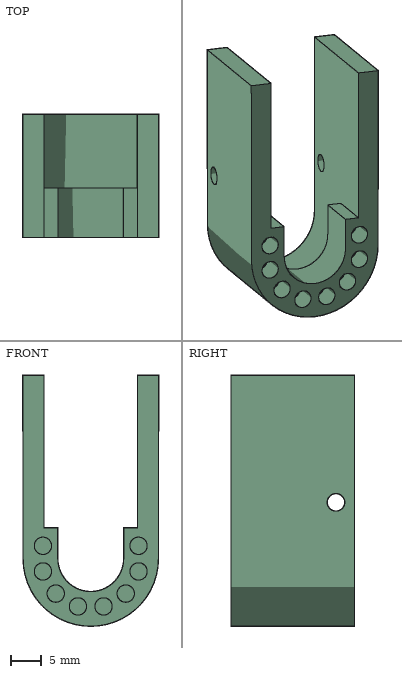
import cadquery as cq
import math

top_width = 22.05
depth = 20.0
height = 40.7
outer_radius = 11.0
axis_height = outer_radius

channel_width = 15.15
front_channel_width = 10.6
ledge_depth = 8.0
ledge_height = 16.0

hole_diameter = 2.8
hole_circle_radius = 8.0
hole_count = 8
hole_spacing = 30.0
first_hole_angle = -90 - hole_spacing * (hole_count - 1) / 2
hole_depth = 5.0

cross_hole_from_back = 3.0
cross_hole_height = 20.1


def u_block(radius, top_half_width, front, back):
    """Full-height block with a half-round bottom centred on the common axis."""
    return (
        cq.Workplane("XZ", origin=(0, front, 0))
        .moveTo(-top_half_width, height)
        .lineTo(-radius, axis_height)
        .threePointArc((0, axis_height - radius), (radius, axis_height))
        .lineTo(top_half_width, height)
        .close()
        .extrude(front - back)
    )


def front_holes():
    """Cylinders for the row of blind holes around the round bottom."""
    centers = []
    for index in range(hole_count):
        angle = math.radians(first_hole_angle + index * hole_spacing)
        x = hole_circle_radius * math.cos(angle)
        z = axis_height + hole_circle_radius * math.sin(angle)
        centers.append((x, z))
    return cq.Workplane("XZ").pushPoints(centers).circle(hole_diameter / 2).extrude(-hole_depth)


def cross_hole():
    """Cylinder along X through both walls, near the back."""
    return (
        cq.Workplane("YZ")
        .center(depth - cross_hole_from_back, cross_hole_height)
        .circle(hole_diameter / 2)
        .extrude(top_width, both=True)
    )


body = u_block(outer_radius, top_width / 2, 0, depth)
wide_channel = u_block(channel_width / 2, channel_width / 2, ledge_depth, depth)
narrow_channel = u_block(front_channel_width / 2, front_channel_width / 2, 0, ledge_depth)
above_ledge = (
    cq.Workplane("XY", origin=(0, 0, ledge_height))
    .rect(channel_width, 2 * ledge_depth)
    .extrude(height - ledge_height)
)

result = (
    body.cut(wide_channel)
    .cut(narrow_channel)
    .cut(above_ledge)
    .cut(front_holes())
    .cut(cross_hole())
)